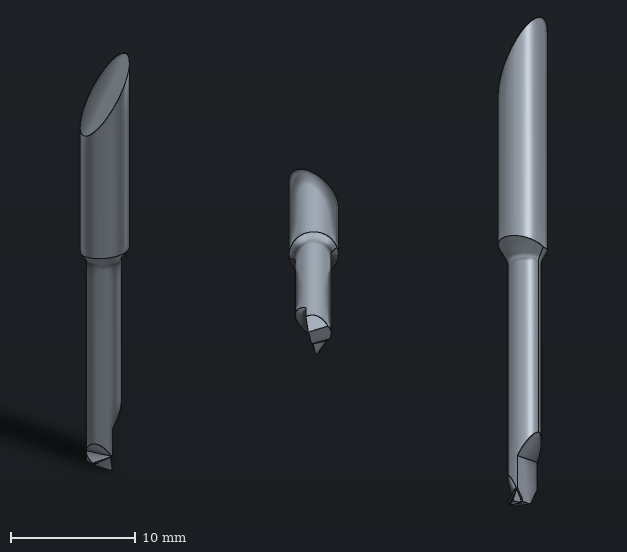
import cadquery as cq
import math

total_length = 40.7
shank_radius = 2.0
end_angle = math.radians(60)

neck_radius = 1.5
neck_axis_shift = -0.45
neck_top = 20.55
shoulder_half_angle = math.radians(30)
shoulder_fillet = 0.98
shoulder_outer_radius = 2.85

flat_y = 0.305
flat_top = 3.85
runout_angle = math.radians(30)
neck_end = 0.15
end_relief = 0.1
corner_x = -0.6
corner_height = 1.63

notch_angle = -40.0
notch_root_depth = 1.0
notch_root_z = 1.22
notch_outer_depth = 1.85
notch_upper_slope = 2.6
notch_lower_slope = 1.7

tip_rake_y = 0.15
tip_left = 0.4
tip_top = 1.15
tip_seat_height = 0.35
tip_left_end = 0.1
tip_inner_x = 1.0
tip_shoulder_x = 1.1
tip_reach = 1.43
tip_nose_x = 1.3
tip_nose_height = 0.33
tip_face_depth = 1.35
tip_face_slope = 0.33

clear = 8.15


def stepped_bar(axis_x):
    """Neck, filleted cone and wide upper cylinder turned about one axis."""
    cone_rise = (shoulder_outer_radius - neck_radius) / math.tan(shoulder_half_angle)
    tangent = shoulder_fillet * math.tan(shoulder_half_angle / 2)
    fillet_top = (
        neck_radius + tangent * math.sin(shoulder_half_angle),
        neck_top + tangent * math.cos(shoulder_half_angle),
    )
    profile = (
        cq.Workplane("XZ")
        .moveTo(0, 0)
        .lineTo(neck_radius, 0)
        .lineTo(neck_radius, neck_top - tangent)
        .tangentArcPoint(fillet_top, relative=False)
        .lineTo(shoulder_outer_radius, neck_top + cone_rise)
        .lineTo(shoulder_outer_radius, total_length)
        .lineTo(0, total_length)
        .close()
    )
    return profile.revolve(360, (0, 0, 0), (0, 1, 0)).translate((axis_x, 0, 0))


def across_x(points):
    """Prism through the part along X, from (Y, Z) points."""
    return cq.Workplane("YZ").polyline(points).close().extrude(clear, both=True)


def across_y(points):
    """Prism through the part along Y, from (X, Z) points."""
    return cq.Workplane("XZ").polyline(points).close().extrude(clear, both=True)


def across_notch(points):
    """Prism along the notch, from (distance out from the shifted axis, Z) points."""
    prism = across_y(points).rotate((0, 0, 0), (0, 0, 1), notch_angle)
    return prism.translate((neck_axis_shift, 0, 0))


def oblique_end():
    rise = 2 * shank_radius * math.tan(end_angle)
    return across_x([
        (-shank_radius, total_length - rise),
        (shank_radius, total_length),
        (shank_radius, total_length + clear),
        (-shank_radius, total_length + clear),
    ])


def rake_flat(face_y):
    runout = clear / math.tan(runout_angle)
    return across_x([
        (face_y, -clear),
        (face_y, flat_top),
        (face_y + clear, flat_top + runout),
        (face_y + clear, -clear),
    ])


def end_clearance(face_y, end_z):
    """Removes everything below an end face that rises toward -Y."""
    return across_x([
        (face_y + clear, end_z - clear * end_relief),
        (face_y - clear, end_z + clear * end_relief),
        (face_y - clear, -clear),
        (face_y + clear, -clear),
    ])


def corner_cut():
    return across_y([
        (-neck_radius, corner_height),
        (corner_x, neck_end),
        (corner_x, -clear),
        (-clear, -clear),
        (-clear, corner_height),
    ])


def relief_notch():
    reach = notch_outer_depth - notch_root_depth
    return across_notch([
        (notch_root_depth, notch_root_z),
        (notch_outer_depth, notch_root_z + reach * notch_upper_slope),
        (notch_outer_depth, notch_root_z - reach * notch_lower_slope),
    ])


def tip_seat():
    return across_y([
        (tip_left, -clear),
        (tip_left, tip_seat_height),
        (tip_inner_x, tip_top),
        (clear, tip_top),
        (clear, -clear),
    ])


def make_bar():
    shank = cq.Workplane("XY").circle(shank_radius).extrude(total_length)
    bar = shank.intersect(stepped_bar(0)).intersect(stepped_bar(neck_axis_shift))
    bar = bar.cut(oblique_end()).cut(rake_flat(flat_y))
    bar = bar.cut(end_clearance(flat_y, neck_end)).cut(corner_cut())
    return bar.cut(relief_notch()).cut(tip_seat())


def make_tip():
    tip = across_y([
        (tip_left, tip_left_end),
        (tip_left, tip_seat_height),
        (tip_inner_x, tip_top),
        (tip_shoulder_x, tip_top),
        (tip_reach, tip_nose_height),
        (tip_nose_x, 0),
    ])
    front_face = across_notch([
        (tip_face_depth + clear * tip_face_slope, -clear),
        (tip_face_depth - clear * tip_face_slope, clear),
        (clear, clear),
        (clear, -clear),
    ])
    return tip.cut(front_face).cut(rake_flat(tip_rake_y)).cut(end_clearance(tip_rake_y, 0))


bar = make_bar()
cutting_tip = make_tip()
result = cq.Compound.makeCompound([bar.solids().val(), cutting_tip.solids().val()])